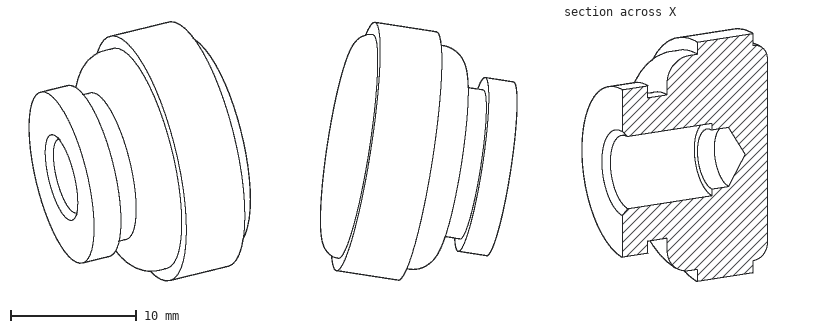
import cadquery as cq
import math


flange_diameter = 14.0
neck_diameter = 12.0
body_diameter = 18.0
band_diameter = 20.0

overall_length = 13.0
flange_thickness = 2.3
body_length = 9.0
band_width = 5.0
band_back_offset = 1.3

front_edge_radius = 2.0
back_edge_radius = band_back_offset

hole_mouth_diameter = 7.0
bore_diameter = 6.0
bore_depth = 8.0
pilot_diameter = 4.9
pilot_depth = 9.5
drill_point_angle = 118.0

body_front = overall_length - body_length
band_back = overall_length - band_back_offset
band_front = band_back - band_width
mouth_chamfer = (hole_mouth_diameter - bore_diameter) / 2


def disc(diameter, start, end):
    """Solid cylinder on the Y axis between two axial positions."""
    return cq.Workplane("XZ", origin=(0, start, 0)).circle(diameter / 2).extrude(start - end)


def rounded_body():
    """Main body with both rims rounded."""
    body = disc(body_diameter, body_front, overall_length)
    body = body.faces("<Y").edges().fillet(front_edge_radius)
    return body.faces(">Y").edges().fillet(back_edge_radius)


def stepped_hole():
    """Chamfered bore stepping down to a pilot hole with a conical drill point."""
    mouth_radius = hole_mouth_diameter / 2
    bore_radius = bore_diameter / 2
    pilot_radius = pilot_diameter / 2
    point_length = pilot_radius / math.tan(math.radians(drill_point_angle / 2))
    half_profile = (
        cq.Workplane("XY")
        .moveTo(0, 0)
        .lineTo(mouth_radius, 0)
        .lineTo(bore_radius, mouth_chamfer)
        .lineTo(bore_radius, bore_depth)
        .lineTo(pilot_radius, bore_depth)
        .lineTo(pilot_radius, pilot_depth)
        .lineTo(0, pilot_depth + point_length)
        .close()
    )
    return half_profile.revolve(360, (0, 0, 0), (0, 1, 0))


flange = disc(flange_diameter, 0, flange_thickness)
neck = disc(neck_diameter, flange_thickness, body_front)
band = disc(band_diameter, band_front, band_back)

result = flange.union(neck).union(rounded_body()).union(band).cut(stepped_hole())